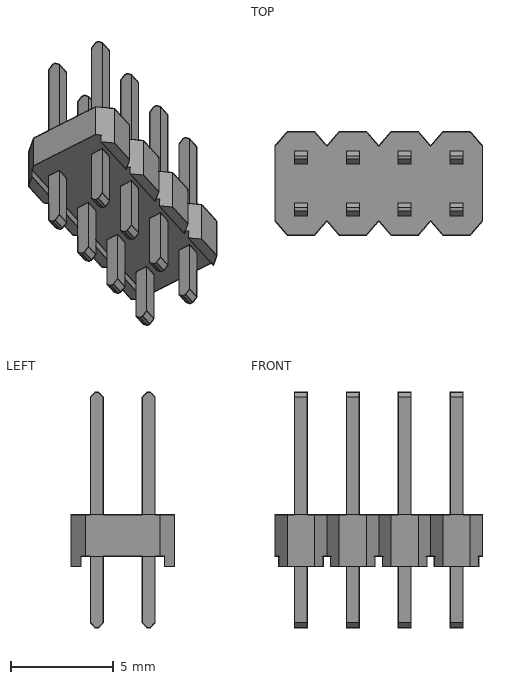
import cadquery as cq


pitch = 2.54
columns = 4
rows = 2

body_height = 2.54
cell_overlap = 0.01
cell_width = pitch + cell_overlap
body_depth = rows * pitch
corner_x = 0.61
corner_y = 0.71

foot_height = 0.5
foot_depth = 0.5
foot_gap = 0.32
foot_width = pitch - foot_gap

pin_size = 0.64
pin_above = 6.0
pin_below = 3.0
tip_height = 0.25
tip_flat = 0.16


def centred_positions(count):
    """Coordinates of evenly pitched items, centred on zero."""
    return [(index - (count - 1) / 2) * pitch for index in range(count)]


def make_cell(x):
    """Full-height housing cell: a rectangle with its four corners cut off."""
    half_width = cell_width / 2
    half_depth = body_depth / 2
    flat_x = half_width - corner_x
    flat_y = half_depth - corner_y
    outline = [
        (-flat_x, -half_depth),
        (flat_x, -half_depth),
        (half_width, -flat_y),
        (half_width, flat_y),
        (flat_x, half_depth),
        (-flat_x, half_depth),
        (-half_width, flat_y),
        (-half_width, -flat_y),
    ]
    return cq.Workplane("XY").polyline(outline).close().extrude(body_height).translate((x, 0, 0))


def make_housing():
    """Join the cells, then relieve the underside so that only the feet reach Z = 0."""
    column_positions = centred_positions(columns)
    housing = make_cell(column_positions[0])
    for x in column_positions[1:]:
        housing = housing.union(make_cell(x))

    body_length = (columns - 1) * pitch + cell_width
    relief = cq.Workplane("XY").box(body_length, body_depth, foot_height, centered=(True, True, False))
    foot_y = (body_depth - foot_depth) / 2
    for x in column_positions:
        for y in (-foot_y, foot_y):
            foot = cq.Workplane("XY").box(foot_width, foot_depth, foot_height, centered=(True, True, False))
            relief = relief.cut(foot.translate((x, y, 0)))
    return housing.cut(relief)


def make_pin(x, y):
    """Pin whose ends taper in Y only, drawn as a YZ profile and extruded along X."""
    bottom = -pin_below
    top = body_height + pin_above
    half_size = pin_size / 2
    half_flat = tip_flat / 2
    profile = [
        (-half_flat, bottom),
        (half_flat, bottom),
        (half_size, bottom + tip_height),
        (half_size, top - tip_height),
        (half_flat, top),
        (-half_flat, top),
        (-half_size, top - tip_height),
        (-half_size, bottom + tip_height),
    ]
    pin = cq.Workplane("YZ").polyline(profile).close().extrude(half_size, both=True)
    return pin.translate((x, y, 0))


result = make_housing()
for pin_x in centred_positions(columns):
    for pin_y in centred_positions(rows):
        result = result.union(make_pin(pin_x, pin_y))